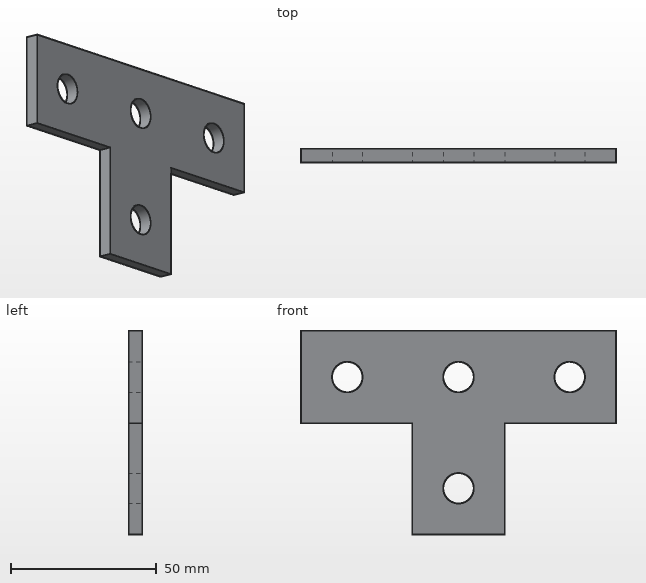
import cadquery as cq

length = 108.0
hole_pitch = 38.1
thickness = 4.7
hole_diameter = 10.4

arm_width = length - 2 * hole_pitch
height = hole_pitch + arm_width

hole_centres = [(-hole_pitch, 0), (0, 0), (hole_pitch, 0), (0, -hole_pitch)]


def plate_block(width, block_height):
    """Plate-thick rectangle whose top edge is the top of the crossbar."""
    centre_z = (arm_width - block_height) / 2
    return cq.Workplane("XY").box(width, thickness, block_height).translate((0, 0, centre_z))


crossbar = plate_block(length, arm_width)
stem = plate_block(arm_width, height)
plate = crossbar.union(stem)

result = (
    plate.faces("<Y")
    .workplane(origin=(0, 0, 0))
    .pushPoints(hole_centres)
    .hole(hole_diameter)
)